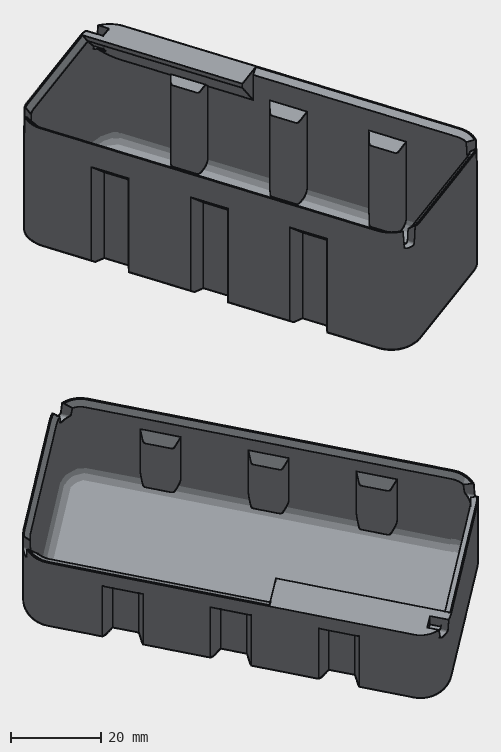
import cadquery as cq
import math

length = 97.0
width = 41.2
height = 33.7
corner_radius = 7.0
bottom_chamfer = 0.9

wall = 1.6
floor_thickness = 1.2
floor_fillet = 4.0

rim_land = 0.3
rim_bevel = wall - rim_land
rim_bevel_angle = 45.0

flute_count = 3
flute_pitch = 24.5
groove_width = 9.25
groove_depth = 3.05
groove_top = height - 6.5
flute_side_slope = 0.54
flute_top_slope = 1.0
flute_shell = 0.75
rib_edge_radius = 0.8

shelf_length = 39.8
shelf_width = 7.0
shelf_lip = 1.2
shelf_under_slope = 1.33

notch_offset = 3.75
notch_mouth = 2.9
notch_bottom = 2.3
notch_depth = 5.1
notch_reach = 4.5
notch_fillet = 0.7


def rounded_block(inset, base_z):
    """Block with rounded vertical corners, inset from the body outline, up to the rim."""
    block = cq.Workplane("XY").workplane(offset=base_z)
    block = block.rect(length - 2 * inset, width - 2 * inset).extrude(height - base_z)
    return block.edges("|Z").fillet(corner_radius - inset)


def make_body():
    return rounded_block(0, 0).faces("<Z").edges().chamfer(bottom_chamfer)


def make_cavity():
    cavity = rounded_block(wall, floor_thickness)
    return cavity.faces("<Z").edges().fillet(floor_fillet)


def make_rim_bevel():
    """Opening of the rim, widening upwards from the cavity wall to the land."""
    opening = cq.Sketch().rect(length - 2 * wall, width - 2 * wall)
    opening = opening.vertices().fillet(corner_radius - wall)
    start = cq.Workplane("XY").workplane(offset=height - rim_bevel)
    return start.placeSketch(opening).extrude(rim_bevel, taper=-rim_bevel_angle)


def make_shelf():
    """Shelf with a short vertical lip and a sloping underside, trimmed to the body outline."""
    back = width / 2
    front = back - shelf_width
    lip_z = height - shelf_lip
    wall_z = lip_z - shelf_under_slope * shelf_width
    profile = [(front, height), (back, height), (back, wall_z), (front, lip_z)]
    shelf = cq.Workplane("YZ").polyline(profile).close().extrude(shelf_length)
    return shelf.translate((-length / 2, 0, 0)).intersect(make_body())


def make_flute(start, end, base_z, shell):
    """Bar on the front wall between two depths, its sloping faces moved out by the shell."""
    side_shift = shell * math.hypot(1, flute_side_slope)
    top_shift = shell * math.hypot(1, flute_top_slope)

    def half_width(depth):
        return groove_width / 2 + side_shift - flute_side_slope * depth

    def top_z(depth):
        return groove_top + top_shift - flute_top_slope * depth

    y_start = start - width / 2
    y_end = end - width / 2
    plan = [
        (-half_width(start), y_start),
        (half_width(start), y_start),
        (half_width(end), y_end),
        (-half_width(end), y_end),
    ]
    side = [(y_start, base_z), (y_start, top_z(start)), (y_end, top_z(end)), (y_end, base_z)]
    bar = cq.Workplane("XY").polyline(plan).close().extrude(height)
    if shell > 0:
        bar = bar.edges("|Z and >Y").fillet(rib_edge_radius)
    return bar.intersect(cq.Workplane("YZ").polyline(side).close().extrude(length, both=True))


def along_both_walls(flute):
    """Copies of a front-wall bar at every flute position on the front and back walls."""
    copies = cq.Workplane("XY")
    for index in range(flute_count):
        x = (index - (flute_count - 1) / 2) * flute_pitch
        front = flute.translate((x, 0, 0))
        copies = copies.add(front).add(front.mirror("XZ"))
    return copies


def make_notch(end, side):
    """Notch in one end wall (end = -1 or 1) beside one long wall (side = -1 or 1)."""
    profile = [
        (-notch_mouth / 2, height),
        (notch_mouth / 2, height),
        (notch_bottom / 2, height - notch_depth),
        (-notch_bottom / 2, height - notch_depth),
    ]
    notch = cq.Workplane("YZ").polyline(profile).close().extrude(notch_reach)
    notch = notch.edges("|X and <Z").fillet(notch_fillet)
    x = -length / 2 if end < 0 else length / 2 - notch_reach
    return notch.translate((x, side * (width / 2 - notch_offset), 0))


groove = make_flute(0, groove_depth, 0, 0)
rib = make_flute(wall / 2, groove_depth + flute_shell, floor_thickness / 2, flute_shell)

result = make_body().cut(make_cavity()).cut(make_rim_bevel())
result = result.union(make_shelf())
for bar in along_both_walls(rib).vals():
    result = result.union(cq.Workplane(bar))
for bar in along_both_walls(groove).vals():
    result = result.cut(cq.Workplane(bar))
for end in (-1, 1):
    for side in (-1, 1):
        result = result.cut(make_notch(end, side))